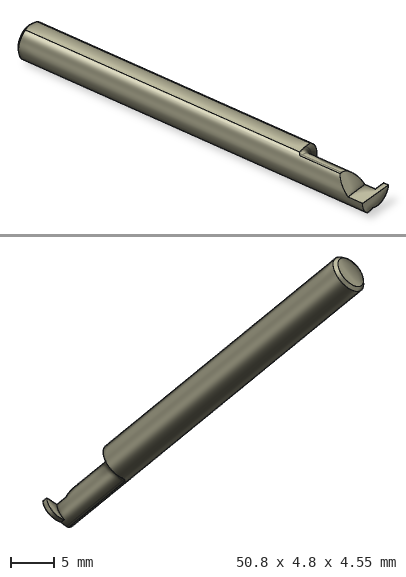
import cadquery as cq

length = 50.8
shank_radius = 2.4
shank_length = 40.35
end_chamfer = 0.4
flat_height = 2.15

neck_radius = 1.95
neck_center_y = -1.1
neck_fillet = 0.55

cutting_face_start = 48.55
tooth_width = 0.7
tip_relief = 0.1


def shank_bar():
    """Full-length round bar, chamfered at the clamped end, with its flat."""
    bar = cq.Workplane("YZ").circle(shank_radius).extrude(length)
    bar = bar.faces("<X").edges().chamfer(end_chamfer)
    below_flat = cq.Workplane("XY").box(
        length, 2 * shank_radius, flat_height + shank_radius, centered=(False, True, False)
    ).translate((0, 0, -shank_radius))
    return bar.intersect(below_flat)


def neck_envelope():
    """Shank block and D-shaped neck, blended by a fillet at the shoulder."""
    block_half = 2 * shank_radius
    block = cq.Workplane("YZ").rect(2 * block_half, 2 * block_half).extrude(shank_length)
    neck = (
        cq.Workplane("YZ", origin=(shank_length, 0, 0))
        .moveTo(-block_half, -neck_radius)
        .lineTo(neck_center_y, -neck_radius)
        .threePointArc((neck_center_y + neck_radius, 0), (neck_center_y, neck_radius))
        .lineTo(-block_half, neck_radius)
        .close()
        .extrude(length - shank_length)
    )
    wall_edges = cq.selectors.BoxSelector(
        (shank_length - neck_fillet / 2, -block_half, -neck_radius - neck_fillet),
        (shank_length + neck_fillet / 2, block_half, neck_radius + neck_fillet),
    )
    return block.union(neck).edges(wall_edges).fillet(neck_fillet)


def tooth_envelope():
    """Hooked tooth with a round flank that falls away below the cutting edge."""
    flank_center_y = shank_radius - neck_radius
    return (
        cq.Workplane("YZ", origin=(length - tooth_width, 0, 0))
        .center(flank_center_y, 0)
        .circle(neck_radius)
        .extrude(tooth_width)
    )


def cutting_face_cut():
    """Upper half removed at the tip, with a 45 degree run-out."""
    return (
        cq.Workplane("XZ")
        .moveTo(cutting_face_start, 0)
        .lineTo(length, 0)
        .lineTo(length, shank_radius)
        .lineTo(cutting_face_start - shank_radius, shank_radius)
        .close()
        .extrude(shank_radius, both=True)
    )


def end_relief_cut():
    """Wedge that leans the end face back from the cutting corner at +Y, z = 0."""
    lean_y = tip_relief / (2 * shank_radius)
    lean_z = tip_relief / neck_radius
    corner = (length, shank_radius, 0)
    plane = cq.Plane(origin=corner, xDir=(lean_y, 1, 0), normal=(1, -lean_y, -lean_z))
    reach = 4 * shank_radius
    return cq.Workplane(plane).rect(2 * reach, 2 * reach).extrude(shank_radius)


result = shank_bar().intersect(neck_envelope().union(tooth_envelope()))
result = result.cut(cutting_face_cut()).cut(end_relief_cut())